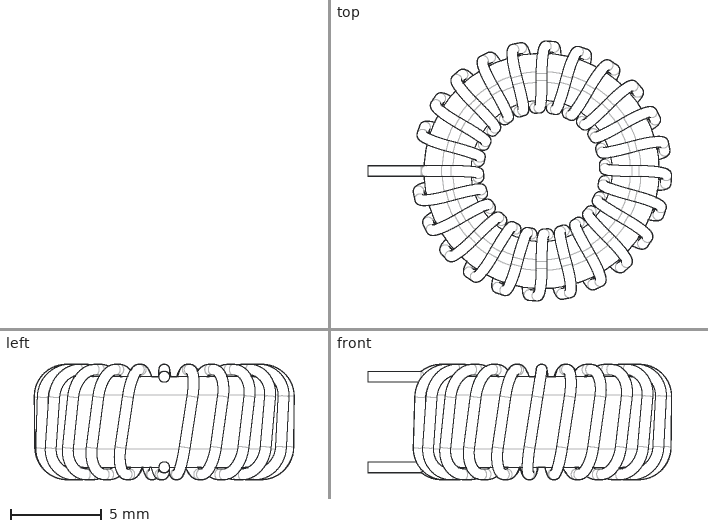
import cadquery as cq
import math


core_outer_diameter = 13.0
core_inner_diameter = 7.8
core_height = 5.0
core_edge_radius = 1.0

wire_diameter = 0.6
core_to_wire_gap = 0.092
turn_bend_radius = 1.5
turn_count = 24

lead_end_x = -9.6
lead_step_start_x = -6.04
lead_step_end_x = -6.55
lead_bend_radius = 0.34

wire_offset = core_to_wire_gap + wire_diameter / 2
outer_run_radius = core_outer_diameter / 2 + wire_offset
inner_run_radius = core_inner_diameter / 2 - wire_offset
crossing_z = core_height / 2 + wire_offset
lead_z = core_height / 2
turn_pitch = 360 / turn_count
half_pitch = turn_pitch / 2
lead_angle = 180


def make_core():
    return (
        cq.Workplane("XY")
        .circle(core_outer_diameter / 2)
        .circle(core_inner_diameter / 2)
        .extrude(core_height)
        .translate((0, 0, -core_height / 2))
        .edges()
        .fillet(core_edge_radius)
    )


def ring_point(radius, angle, z):
    """Point at a radius and an angle in degrees around the ring axis."""
    turn = math.radians(angle)
    return cq.Vector(radius * math.cos(turn), radius * math.sin(turn), z)


def lead_corners(side):
    """Corners of a lead and its bend radii, from the free end inwards; side is 1 on top, -1 below."""
    return [
        (cq.Vector(lead_end_x, 0, side * lead_z), 0),
        (cq.Vector(lead_step_end_x, 0, side * lead_z), lead_bend_radius),
        (cq.Vector(lead_step_start_x, 0, side * crossing_z), turn_bend_radius),
    ]


def winding_corners():
    """Corners of the whole wire centreline, each with its bend radius.

    The crossings above and below the core are radial. The runs along the bore and along
    the outer wall each lean by half a pitch, so every turn advances by one pitch.
    """
    corners = lead_corners(1)
    for turn in range(turn_count):
        top_angle = lead_angle + turn * turn_pitch
        if turn > 0:
            corners.append((ring_point(outer_run_radius, top_angle, crossing_z), turn_bend_radius))
        corners.append((ring_point(inner_run_radius, top_angle, crossing_z), turn_bend_radius))
        bottom_angle = top_angle + half_pitch
        corners.append((ring_point(inner_run_radius, bottom_angle, -crossing_z), turn_bend_radius))
        if turn < turn_count - 1:
            corners.append((ring_point(outer_run_radius, bottom_angle, -crossing_z), turn_bend_radius))
    return corners + lead_corners(-1)[::-1]


def bend_arc(before, corner, after, radius):
    """Start, middle and end of the arc that rounds a corner between two neighbours."""
    to_before = (before - corner).normalized()
    to_after = (after - corner).normalized()
    half_angle = to_before.getAngle(to_after) / 2
    tangent_length = radius / math.tan(half_angle)
    corner_to_arc = radius / math.sin(half_angle) - radius
    bisector = (to_before + to_after).normalized()
    return (
        corner + to_before * tangent_length,
        corner + bisector * corner_to_arc,
        corner + to_after * tangent_length,
    )


def winding_path():
    corners = winding_corners()
    points = [point for point, radius in corners]
    edges = []
    straight_start = points[0]
    for i in range(1, len(corners) - 1):
        start, middle, end = bend_arc(points[i - 1], points[i], points[i + 1], corners[i][1])
        edges.append(cq.Edge.makeLine(straight_start, start))
        edges.append(cq.Edge.makeThreePointArc(start, middle, end))
        straight_start = end
    edges.append(cq.Edge.makeLine(straight_start, points[-1]))
    return cq.Wire.assembleEdges(edges)


def make_winding():
    lead_end = cq.Plane(origin=(lead_end_x, 0, lead_z), xDir=(0, 1, 0), normal=(1, 0, 0))
    return cq.Workplane(lead_end).circle(wire_diameter / 2).sweep(winding_path(), transition="transformed")


core = make_core()
winding = make_winding()
result = cq.Compound.makeCompound([core.val(), winding.val()])